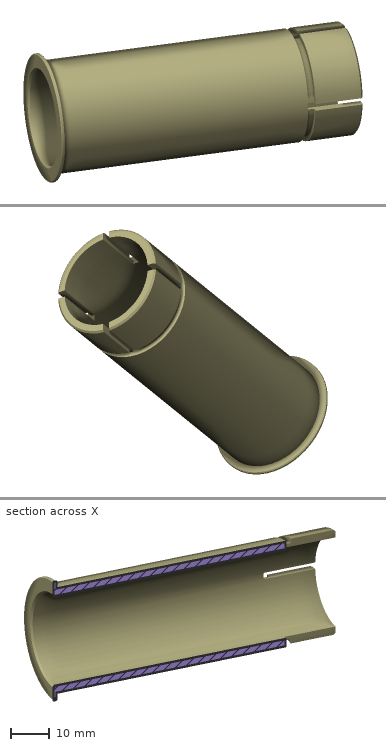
import cadquery as cq

length = 83.0
flange_diameter = 34.0
flange_thickness = 1.0
flange_chamfer = 0.25
sleeve_diameter = 30.0
bore_diameter = 25.5
bore_chamfer = 0.5
tip_chamfer = 0.5

slot_length = 15.0
slot_width = 1.8
groove_width = 2.0
groove_diameter = 27.5

flange_face_y = 0.0
tip_y = flange_face_y + length
slot_floor_y = tip_y - slot_length


def sleeve_body():
    """Revolve the flanged, grooved and chamfered wall about the Y axis."""
    flange_radius = flange_diameter / 2
    outer_radius = sleeve_diameter / 2
    bore_radius = bore_diameter / 2
    groove_radius = groove_diameter / 2
    flange_back_y = flange_face_y + flange_thickness
    groove_end_y = slot_floor_y + groove_width
    profile = [
        (bore_radius + bore_chamfer, flange_face_y),
        (flange_radius - flange_chamfer, flange_face_y),
        (flange_radius, flange_face_y + flange_chamfer),
        (flange_radius, flange_back_y - flange_chamfer),
        (flange_radius - flange_chamfer, flange_back_y),
        (outer_radius, flange_back_y),
        (outer_radius, slot_floor_y),
        (groove_radius, slot_floor_y),
        (groove_radius, groove_end_y),
        (outer_radius, groove_end_y),
        (outer_radius, tip_y - tip_chamfer),
        (outer_radius - tip_chamfer, tip_y),
        (bore_radius, tip_y),
        (bore_radius, flange_face_y + bore_chamfer),
    ]
    return cq.Workplane("XY").polyline(profile).close().revolve(360, (0, 0, 0), (0, 1, 0))


def cross_slots():
    """Two perpendicular slabs that split the tip into four fingers."""
    slot_center = (0, slot_floor_y + slot_length / 2, 0)
    slot_across_x = cq.Workplane("XY").box(flange_diameter, slot_length, slot_width)
    slot_across_z = cq.Workplane("XY").box(slot_width, slot_length, flange_diameter)
    return slot_across_x.union(slot_across_z).translate(slot_center)


result = sleeve_body().cut(cross_slots())